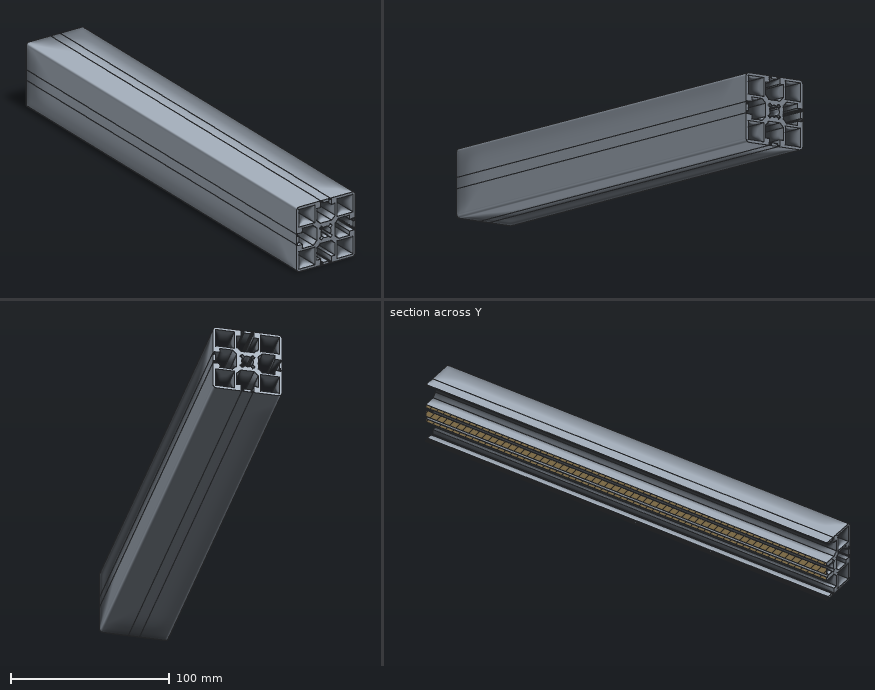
import cadquery as cq
length = 304.8
side = 45.0
corner_radius = 2.5

outer_wall = 1.8
chamber_size = 12.2

channel_width = 14.0
channel_floor = 7.0
channel_roof = 18.0
floor_chamfer = 2.7
mouth_width = 8.2

cover_width = 4.5
cover_thickness = 1.8
notch_web = 1.0

score_offset = 3.7
score_width = 0.5
score_web = 0.25

bore_diameter = 7.5
relief_reach = 5.8
relief_width = 1.8

half_side = side / 2


def prism(section):
    """Extrude a section drawn in the YZ plane over the whole bar length."""
    return section.extrude(length / 2, both=True)


def turn(solid, angle):
    """Rotate a solid about the bar axis."""
    return solid.rotate((0, 0, 0), (1, 0, 0), angle)


def make_channel():
    """Channel void on the +Z side, mirrored about Y = 0."""
    wall = channel_width / 2
    lip = mouth_width / 2
    cover_edge = cover_width / 2
    notch_flat = half_side - notch_web
    right_half = [
        (wall - floor_chamfer, channel_floor),
        (wall, channel_floor + floor_chamfer),
        (wall, channel_roof),
        (lip, channel_roof),
        (lip, notch_flat),
        (score_offset + score_width / 2, notch_flat),
        (score_offset, half_side - score_web),
        (score_offset - score_width / 2, notch_flat),
        (cover_edge, notch_flat),
        (cover_edge, half_side - cover_thickness),
    ]
    left_half = [(-y, z) for y, z in reversed(right_half)]
    return prism(cq.Workplane("YZ").polyline(right_half + left_half).close())


def make_chambers():
    """Four square corner chambers."""
    spacing = side - 2 * outer_wall - chamber_size
    centres = cq.Workplane("YZ").rarray(spacing, spacing, 2, 2)
    return prism(centres.rect(chamber_size, chamber_size))


def make_bore():
    """Round bore crossed by two diagonal slots."""
    bore = prism(cq.Workplane("YZ").circle(bore_diameter / 2))
    slot = prism(cq.Workplane("YZ").rect(2 * relief_reach, relief_width))
    for angle in (45, 135):
        bore = bore.union(turn(slot, angle))
    return bore


bar = cq.Workplane("XY").box(length, side, side).edges("|X").fillet(corner_radius)
bar = bar.cut(make_chambers()).cut(make_bore())

channel = make_channel()
for angle in (0, 90, 180, 270):
    bar = bar.cut(turn(channel, angle))

result = bar